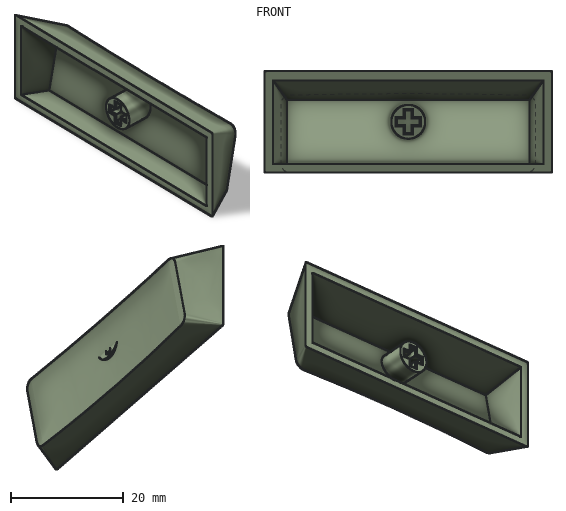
import cadquery as cq
import math

rim_length = 51.0
rim_height = 18.0
rim_corner = 0.3

top_length = 45.05
top_corner = 1.65
top_low_y = 6.0
top_high_y = 8.65
top_high_z = 13.7
dish_half_width = 20.9
dish_depth = 0.6

wall = 1.6
mouth_low_z = 1.55
mouth_high_z = 16.3
floor_length = 42.9
floor_low_y = 4.6
floor_high_y = 6.9
floor_high_z = 12.85

stem_diameter = 6.0
stem_z = rim_height / 2
stem_front_y = 0.95
cross_span = 4.5
cross_width = 1.7
lead_in_inset = 0.25
lead_in_depth = 0.25


def slope_plane(low_y, low_z, high_y, high_z):
    """Plane at the middle of a YZ slope: local x is +X, local y runs down the slope."""
    middle = (0, (low_y + high_y) / 2, (low_z + high_z) / 2)
    downhill = cq.Vector(0, low_y - high_y, low_z - high_z)
    normal = cq.Vector(1, 0, 0).cross(downhill)
    return cq.Plane(origin=middle, xDir=(1, 0, 0), normal=normal)


def rectangle_wire(plane, length, height, corner=0):
    """Rectangle centred on a plane, with optional rounded corners."""
    sketch = cq.Sketch().rect(length, height)
    if corner:
        sketch = sketch.vertices().fillet(corner)
    wire = sketch.reset().faces().val().outerWire()
    return wire.moved(cq.Location(plane))


def tapered_block(wide_plane, wide_size, narrow_plane, narrow_size):
    """Straight-sided solid joining two rectangles given as (length, height, corner)."""
    wires = [rectangle_wire(wide_plane, *wide_size), rectangle_wire(narrow_plane, *narrow_size)]
    return cq.Workplane(obj=cq.Solid.makeLoft(wires, True))


def make_shell():
    rim_plane = slope_plane(0, 0, 0, rim_height)
    top_plane = slope_plane(top_low_y, 0, top_high_y, top_high_z)
    top_height = math.hypot(top_high_y - top_low_y, top_high_z)
    return tapered_block(
        rim_plane, (rim_length, rim_height, rim_corner),
        top_plane, (top_length, top_height, top_corner),
    )


def make_dish():
    """Large cylinder along the slope that hollows the top across its length."""
    radius = (dish_half_width**2 + dish_depth**2) / (2 * dish_depth)
    plane = slope_plane(top_low_y, 0, top_high_y, top_high_z)
    centre = plane.toWorldCoords((0, 0, radius - dish_depth))
    axis_plane = cq.Plane(origin=centre, xDir=(1, 0, 0), normal=plane.yDir)
    return cq.Workplane(axis_plane).circle(radius).extrude(rim_height, both=True)


def make_cavity():
    mouth_plane = slope_plane(0, mouth_low_z, 0, mouth_high_z)
    floor_plane = slope_plane(floor_low_y, mouth_low_z, floor_high_y, floor_high_z)
    floor_height = math.hypot(floor_high_y - floor_low_y, floor_high_z - mouth_low_z)
    return tapered_block(
        mouth_plane, (rim_length - 2 * wall, mouth_high_z - mouth_low_z),
        floor_plane, (floor_length, floor_height),
    )


def make_stem():
    """Post from its front face into the floor, still below the dished top."""
    plane = cq.Plane(origin=(0, stem_front_y, stem_z), xDir=(1, 0, 0), normal=(0, 1, 0))
    stem_length = floor_high_y - stem_front_y
    return cq.Workplane(plane).circle(stem_diameter / 2).extrude(stem_length)


def make_socket():
    """Cross through the whole post, with a sloped lead-in around its opening."""
    plane = cq.Plane(origin=(0, stem_front_y, stem_z), xDir=(1, 0, 0), normal=(0, 1, 0))
    inner_span = cross_span - 2 * lead_in_inset
    inner_width = cross_width - 2 * lead_in_inset
    depth = floor_high_y - stem_front_y
    socket = cq.Workplane(plane)
    for angle in (0, 90):
        arm = cq.Workplane(plane).transformed(rotate=(0, 0, angle))
        socket = socket.union(arm.rect(inner_span, inner_width).extrude(depth))
        lead_in = (
            arm.rect(cross_span, cross_width)
            .workplane(offset=lead_in_depth)
            .rect(inner_span, inner_width)
            .loft(ruled=True)
        )
        socket = socket.union(lead_in)
    return socket


shell = make_shell().cut(make_dish())
stem = make_stem().cut(make_socket())
result = shell.cut(make_cavity()).union(stem)